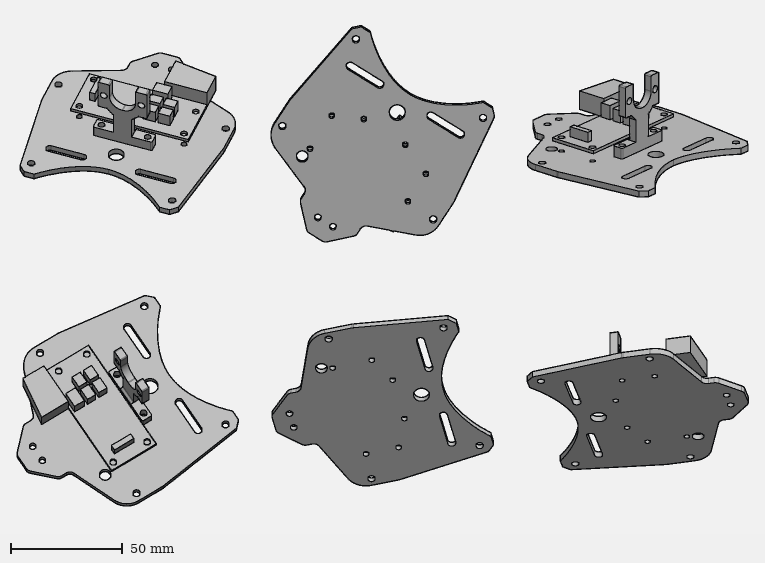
import cadquery as cq
import math


PLATE_T = 3.0
PLATE_FRONT_Y = -24.6
PLATE_LENGTH = 92.5
PLATE_REAR_Y = PLATE_FRONT_Y + PLATE_LENGTH
PLATE_HALF_W = 87.0 / 2

NOSE_TIP_HALF_W = 4.6
NOSE_HALF_W = 14.9
NOSE_ROOT_Y = 52.0
SHOULDER_Y = 40.6
SIDE_KINK_Y = 21.0
TAPER_HALF_W = 37.8
FOOT_CHAMFER = 3.05
ARCH_HALF_W = 30.0
ARCH_RISE = 14.5
ARCH_CROWN_REACH = 13.9
ARCH_END_REACH = 4.6

NOSE_R = 3.0
SHOULDER_R = 10.0
KINK_R = 5.0

CENTRE_HOLE_D = 7.1
CABLE_HOLE_D = 5.2
CABLE_HOLE_XY = (-25.0, 39.9)
NOSE_HOLE_D = 3.0
NOSE_HOLE_X = 4.0
NOSE_HOLE_Y = 59.8
MOUNT_HOLE_D = 3.2
REAR_MOUNT_XY = (40.0, 32.8)
FRONT_MOUNT_XY = (33.7, -18.5)
SLOT_LENGTH = 19.2
SLOT_W = 3.6
SLOT_X = 21.4
SLOT_Y = -6.75
PILOT_D = 2.5

FOOT_W = 28.1
FOOT_FRONT_Y = 8.0
FOOT_DEPTH = 5.2
FOOT_TOP_Z = 8.1
FOOT_CORNER_R = 0.65
FOOT_HOLE_D = 3.0
FOOT_HOLE_X = 11.0

UPRIGHT_T = 3.7
UPRIGHT_TOP_Z = 37.0
STEM_W = 8.8
STEM_HALF_W = STEM_W / 2
FORK_HALF_W = 11.7
FORK_BOTTOM_Z = 22.0
FORK_CORNER_R = 0.6
HAUNCH = 3.1
CRADLE_W = 12.3
CRADLE_BOTTOM_Z = 23.4
CRADLE_R = 6.0
FORK_HOLE_D = 3.2
FORK_HOLE_X = 9.0
FORK_HOLE_Z = 29.5
STEM_FILLET_R = 1.0

BOARD_LEFT_X = -27.0
BOARD_RIGHT_X = 29.1
BOARD_FRONT_Y = 14.0
BOARD_REAR_Y = 37.7
BOARD_BOTTOM_Z = FOOT_TOP_Z
BOARD_T = 1.5
BOARD_TOP_Z = BOARD_BOTTOM_Z + BOARD_T
BOARD_HOLE_D = 3.0
BOARD_HOLES = [(-24.0, 16.9), (-24.0, 35.0), (26.0, 16.9), (26.0, 31.9)]

CONNECTOR_LEFT_X = 8.9
CONNECTOR_LEFT_Y = 51.9
CONNECTOR_RIGHT_Y = 48.9
CONNECTOR_TOP_Z = 17.1

HEADER_SIZE = (2.6, 10.3, 4.8)
HEADER_CORNER = (-21.0, 22.1)
RELAY_SIZE = (7.3, 5.2, 6.8)
RELAY_CORNER = (5.55, 31.4)
CHIP_DEPTH = 4.35
CHIP_HEIGHT = 5.9
CHIP_COLUMNS = [(5.55, 5.8), (12.8, 5.55)]
CHIP_ROWS = [19.3, 25.3]


def both_sides(x, y):
    """A point and its mirror image across the YZ plane."""
    return [(x, y), (-x, y)]


def drill(body, points, diameter):
    """Cut vertical holes through the whole height of a body."""
    tools = cq.Workplane("XY").pushPoints(points).circle(diameter / 2).extrude(UPRIGHT_TOP_Z)
    return body.cut(tools)


def plate_outline():
    reach = ARCH_END_REACH * math.sqrt(0.5)
    crown_y = PLATE_FRONT_Y + ARCH_RISE
    crown = (0, crown_y)
    left_side = [
        (-ARCH_HALF_W, PLATE_FRONT_Y),
        (-TAPER_HALF_W + FOOT_CHAMFER, PLATE_FRONT_Y),
        (-TAPER_HALF_W, PLATE_FRONT_Y + FOOT_CHAMFER),
        (-PLATE_HALF_W, SIDE_KINK_Y),
        (-PLATE_HALF_W, SHOULDER_Y),
        (-NOSE_HALF_W, NOSE_ROOT_Y),
        (-NOSE_HALF_W, PLATE_REAR_Y - (NOSE_HALF_W - NOSE_TIP_HALF_W)),
        (-NOSE_TIP_HALF_W, PLATE_REAR_Y),
    ]
    right_side = [(-x, y) for x, y in reversed(left_side)]
    arch_left = [
        crown,
        (-ARCH_CROWN_REACH, crown_y),
        (-ARCH_HALF_W + reach, PLATE_FRONT_Y + reach),
        left_side[0],
    ]
    arch_right = [(-x, y) for x, y in reversed(arch_left)]
    outline = cq.Workplane("XY").moveTo(*crown).bezier(arch_left)
    for point in left_side[1:] + right_side:
        outline = outline.lineTo(*point)
    return outline.bezier(arch_right).close()


def round_edges(body, points, radius):
    """Round the vertical edges that stand at the given points and their mirror images."""
    for x, y in points:
        for edge_x, edge_y in both_sides(x, y):
            selector = cq.selectors.NearestToPointSelector((edge_x, edge_y, PLATE_T / 2))
            body = body.edges("|Z").edges(selector).fillet(radius)
    return body


def make_plate():
    plate = plate_outline().extrude(PLATE_T)
    nose_corners = [
        (NOSE_TIP_HALF_W, PLATE_REAR_Y),
        (NOSE_HALF_W, PLATE_REAR_Y - (NOSE_HALF_W - NOSE_TIP_HALF_W)),
        (NOSE_HALF_W, NOSE_ROOT_Y),
    ]
    plate = round_edges(plate, nose_corners, NOSE_R)
    plate = round_edges(plate, [(PLATE_HALF_W, SHOULDER_Y)], SHOULDER_R)
    plate = round_edges(plate, [(PLATE_HALF_W, SIDE_KINK_Y)], KINK_R)

    plate = drill(plate, [(0, 0)], CENTRE_HOLE_D)
    plate = drill(plate, [CABLE_HOLE_XY], CABLE_HOLE_D)
    plate = drill(plate, both_sides(NOSE_HOLE_X, NOSE_HOLE_Y), NOSE_HOLE_D)
    plate = drill(plate, both_sides(*REAR_MOUNT_XY) + both_sides(*FRONT_MOUNT_XY), MOUNT_HOLE_D)
    plate = drill(plate, BOARD_HOLES + both_sides(FOOT_HOLE_X, FOOT_FRONT_Y + FOOT_DEPTH / 2), PILOT_D)

    slots = cq.Workplane("XY").pushPoints(both_sides(SLOT_X, SLOT_Y)).slot2D(SLOT_LENGTH, SLOT_W)
    return plate.cut(slots.extrude(PLATE_T))


def make_foot():
    foot = (
        cq.Workplane("XY", origin=(0, FOOT_FRONT_Y + FOOT_DEPTH / 2, PLATE_T))
        .rect(FOOT_W, FOOT_DEPTH)
        .extrude(FOOT_TOP_Z - PLATE_T)
        .edges("|Z")
        .fillet(FOOT_CORNER_R)
    )
    return drill(foot, both_sides(FOOT_HOLE_X, FOOT_FRONT_Y + FOOT_DEPTH / 2), FOOT_HOLE_D)


def make_upright():
    """Flat fork on a stem, standing on the plate with its front flush with the foot."""
    front = cq.Workplane("XZ", origin=(0, FOOT_FRONT_Y, 0))
    right_half = [
        (STEM_HALF_W, PLATE_T),
        (STEM_HALF_W, FORK_BOTTOM_Z - HAUNCH),
        (STEM_HALF_W + HAUNCH, FORK_BOTTOM_Z),
        (FORK_HALF_W, FORK_BOTTOM_Z),
        (FORK_HALF_W, UPRIGHT_TOP_Z),
    ]
    left_half = [(-x, z) for x, z in reversed(right_half)]
    upright = front.polyline(right_half + left_half).close().extrude(-UPRIGHT_T)

    slot_depth = UPRIGHT_TOP_Z - CRADLE_BOTTOM_Z
    cradle_slot = (
        front.center(0, CRADLE_BOTTOM_Z + slot_depth / 2)
        .rect(CRADLE_W, slot_depth)
        .extrude(-UPRIGHT_T)
        .edges("|Y and <Z")
        .fillet(CRADLE_R)
    )
    upright = upright.cut(cradle_slot)
    upright = upright.faces(">Z").edges("|Y").fillet(FORK_CORNER_R)
    for side in ("<X", ">X"):
        upright = upright.faces(side).edges("|Y and <Z").fillet(FORK_CORNER_R)

    holes = front.pushPoints(both_sides(FORK_HOLE_X, FORK_HOLE_Z)).circle(FORK_HOLE_D / 2)
    return upright.cut(holes.extrude(-UPRIGHT_T))


def make_stem_fillet():
    """Concave fillet between the rear of the stem and the top of the foot."""
    rear_y = FOOT_FRONT_Y + UPRIGHT_T
    centre_y = rear_y + STEM_FILLET_R
    centre_z = FOOT_TOP_Z + STEM_FILLET_R
    middle = STEM_FILLET_R * math.sqrt(0.5)
    return (
        cq.Workplane("YZ", origin=(-STEM_HALF_W, 0, 0))
        .moveTo(rear_y, FOOT_TOP_Z)
        .lineTo(centre_y, FOOT_TOP_Z)
        .threePointArc((centre_y - middle, centre_z - middle), (rear_y, centre_z))
        .close()
        .extrude(STEM_W)
    )


def make_base():
    """Base plate with its bracket, one solid."""
    return make_plate().union(make_foot()).union(make_upright()).union(make_stem_fillet())


def block_on_board(corner, size):
    """Box standing on the board, placed by its left front corner."""
    return cq.Workplane("XY").box(*size, centered=False).translate((*corner, BOARD_TOP_Z))


def make_board():
    """Circuit board with all its components, one solid."""
    board = (
        cq.Workplane("XY")
        .box(BOARD_RIGHT_X - BOARD_LEFT_X, BOARD_REAR_Y - BOARD_FRONT_Y, BOARD_T, centered=False)
        .translate((BOARD_LEFT_X, BOARD_FRONT_Y, BOARD_BOTTOM_Z))
    )
    board = drill(board, BOARD_HOLES, BOARD_HOLE_D)

    connector_outline = [
        (CONNECTOR_LEFT_X, BOARD_REAR_Y),
        (BOARD_RIGHT_X, BOARD_REAR_Y),
        (BOARD_RIGHT_X, CONNECTOR_RIGHT_Y),
        (CONNECTOR_LEFT_X, CONNECTOR_LEFT_Y),
    ]
    connector = (
        cq.Workplane("XY", origin=(0, 0, BOARD_BOTTOM_Z))
        .polyline(connector_outline)
        .close()
        .extrude(CONNECTOR_TOP_Z - BOARD_BOTTOM_Z)
    )
    board = board.union(connector)

    board = board.union(block_on_board(HEADER_CORNER, HEADER_SIZE))
    board = board.union(block_on_board(RELAY_CORNER, RELAY_SIZE))
    for chip_x, chip_w in CHIP_COLUMNS:
        for chip_y in CHIP_ROWS:
            chip = block_on_board((chip_x, chip_y), (chip_w, CHIP_DEPTH, CHIP_HEIGHT))
            board = board.union(chip)
    return board


base = make_base()
board = make_board()

result = cq.Compound.makeCompound([base.solids().val(), board.solids().val()])